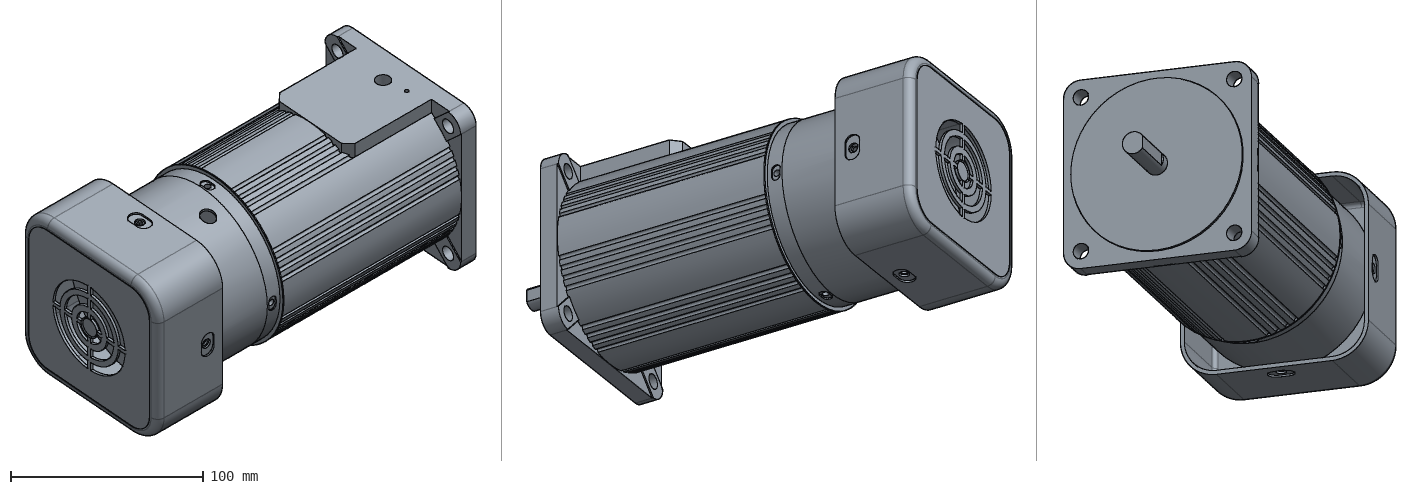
import cadquery as cq
import math

SHAFT_TIP = 263.0
SQUARE = 104.0
HALF = SQUARE / 2

COVER_OPEN_END = 46.5
CAP_END = 32.5
CAP_JOINT = 80.2
BARREL_END = 89.2
FLANGE_BACK = 215.7
FLANGE_FRONT = 226.0
PILOT_FRONT = 227.5

SPIGOT_RADIUS = 49.7
BARREL_RADIUS = 51.8
RIM_LENGTH = 0.8
PILOT_RADIUS = 47.3
FLANGE_CORNER = 9.5
GROOVE_RADIUS = 1.18
GROOVE_FIRST_ANGLE = 14.2
GROOVE_PITCH_ANGLE = 6.1
GROOVES_PER_SIDE = 4

SCREW_OFFSET = 42.3
SCREW_HOLE_DIAMETER = 8.5
SEAT_HEIGHT = 0.8

BLOCK_WIDTH = 57.5
BLOCK_END = 156.5
BLOCK_CHAMFER = 5.0
BLOCK_UNDERSIDE = 40.8
LEAD_HOLE_DIAMETER = 9.0
LEAD_HOLE_Y = 208.0
LEAD_HOLE_DEPTH = 8.0
EARTH_HOLE_DIAMETER = 2.4
EARTH_HOLE_X = 15.0
EARTH_HOLE_Y = 211.0
EARTH_HOLE_DEPTH = 5.3

SHAFT_RADIUS = 6.0
SHAFT_FLAT_DEPTH = 1.0
SHAFT_FLAT_LENGTH = 29.2

SPIGOT_SCREW_Y = 84.0
SPIGOT_RECESS_LENGTH = 9.0
SPIGOT_RECESS_WIDTH = 5.3
SPIGOT_RECESS_DEPTH = 1.0
SPIGOT_HOLE_DIAMETER = 3.7
SPIGOT_HOLE_DEPTH = 5.3

CAP_WALL = 1.3
CABLE_HOLE_DIAMETER = 9.0
CABLE_HOLE_X = 16.5
CABLE_HOLE_Y = 69.0

COVER_CORNER = 20.0
COVER_FILLET = 4.7
PANEL_BORDER = 1.0
PANEL_HEIGHT = 0.3
HUB_RADIUS = 6.0
HUB_FLOOR_RADIUS = 5.3
HUB_RECESS = 0.5
GRILLE_THICKNESS = 1.5
COVER_WALL = HALF - SPIGOT_RADIUS
COVER_SCREW_Y = 36.0
COVER_RECESS_LENGTH = 14.7
COVER_RECESS_WIDTH = 9.0
COVER_RECESS_DEPTH = 1.0
COVER_HOLE_DIAMETER = 5.5
CAP_SCREW_HOLE_DIAMETER = 3.5
GRILLE_RINGS = [(HUB_RADIUS, 9.5), (13.5, 19.0), (22.4, 27.5)]
GRILLE_SPOKE = 2.4


def sketch_plane(y):
    """Plane across the motor axis at the given Y, with X right, Z up, facing -Y."""
    return cq.Workplane("XZ", origin=(0, y, 0))


def cylinder(radius, y_from, y_to):
    """Cylinder on the motor axis."""
    return sketch_plane(y_to).circle(radius).extrude(y_to - y_from)


def rounded_square(side, corner, y_from, y_to):
    """Square bar on the motor axis with rounded long edges."""
    return sketch_plane(y_to).rect(side, side).extrude(y_to - y_from).edges("|Y").fillet(corner)


def around_axis(tool):
    """Four copies of a tool, a quarter turn apart about the motor axis."""
    return [tool.rotate((0, 0, 0), (0, 1, 0), 90 * turn) for turn in range(4)]


def cut_all(body, tools):
    for tool in tools:
        body = body.cut(tool)
    return body


def hole_from_top(x, y, diameter, z_top, depth):
    return cq.Workplane("XY", origin=(x, y, z_top)).circle(diameter / 2).extrude(-depth)


def oval_from_top(y, length, width, z_top, depth):
    return cq.Workplane("XY", origin=(0, y, z_top)).slot2D(length, width).extrude(-depth)


def barrel():
    body = cylinder(BARREL_RADIUS, BARREL_END, FLANGE_BACK)
    body = body.union(cylinder(HALF, BARREL_END, BARREL_END + RIM_LENGTH))
    groove_start = BARREL_END + RIM_LENGTH
    groove = cylinder(GROOVE_RADIUS, groove_start, FLANGE_BACK).translate((0, 0, BARREL_RADIUS))
    for number in range(GROOVES_PER_SIDE):
        angle = GROOVE_FIRST_ANGLE + number * GROOVE_PITCH_ANGLE
        for side in (1, -1):
            turned = groove.rotate((0, 0, 0), (0, 1, 0), side * angle)
            body = cut_all(body, around_axis(turned))
    return body


def flange():
    body = rounded_square(SQUARE, FLANGE_CORNER, FLANGE_BACK, FLANGE_FRONT)
    seat_face = FLANGE_BACK - SEAT_HEIGHT
    outline = rounded_square(SQUARE, FLANGE_CORNER, seat_face, FLANGE_BACK)
    seat_width = FLANGE_CORNER * math.sqrt(2)
    for angle in (45, -45):
        band = sketch_plane(FLANGE_BACK).rect(2 * SQUARE, seat_width).extrude(SEAT_HEIGHT)
        body = body.union(band.rotate((0, 0, 0), (0, 1, 0), angle).intersect(outline))
    hole = cylinder(SCREW_HOLE_DIAMETER / 2, seat_face, FLANGE_FRONT)
    return cut_all(body, around_axis(hole.translate((SCREW_OFFSET, 0, SCREW_OFFSET))))


def terminal_block():
    length = FLANGE_BACK - BLOCK_END
    centre = (0, BLOCK_END + length / 2, BLOCK_UNDERSIDE)
    body = cq.Workplane("XY", origin=centre).rect(BLOCK_WIDTH, length).extrude(HALF - BLOCK_UNDERSIDE)
    return body.edges("|Z and <Y").chamfer(BLOCK_CHAMFER)


def shaft():
    body = cylinder(SHAFT_RADIUS, PILOT_FRONT, SHAFT_TIP)
    flat_x = SHAFT_FLAT_DEPTH - SHAFT_RADIUS
    flat = cq.Workplane("XY").box(SHAFT_RADIUS, SHAFT_FLAT_LENGTH, 2 * SHAFT_RADIUS)
    flat_centre = (flat_x - SHAFT_RADIUS / 2, SHAFT_TIP - SHAFT_FLAT_LENGTH / 2, 0)
    return body.cut(flat.translate(flat_centre))


def make_housing():
    body = barrel().union(flange()).union(terminal_block())
    body = body.union(cylinder(PILOT_RADIUS, FLANGE_FRONT, PILOT_FRONT)).union(shaft())
    body = body.union(cylinder(SPIGOT_RADIUS, CAP_JOINT, BARREL_END))
    body = body.cut(hole_from_top(0, LEAD_HOLE_Y, LEAD_HOLE_DIAMETER, HALF, LEAD_HOLE_DEPTH))
    body = body.cut(hole_from_top(EARTH_HOLE_X, EARTH_HOLE_Y, EARTH_HOLE_DIAMETER, HALF, EARTH_HOLE_DEPTH))
    recess = oval_from_top(SPIGOT_SCREW_Y, SPIGOT_RECESS_LENGTH, SPIGOT_RECESS_WIDTH,
                           SPIGOT_RADIUS, SPIGOT_RECESS_DEPTH)
    hole = hole_from_top(0, SPIGOT_SCREW_Y, SPIGOT_HOLE_DIAMETER, SPIGOT_RADIUS, SPIGOT_HOLE_DEPTH)
    return cut_all(body, around_axis(recess.union(hole)))


def make_rear_cap():
    body = cylinder(SPIGOT_RADIUS, CAP_END, CAP_JOINT)
    body = body.cut(cylinder(SPIGOT_RADIUS - CAP_WALL, CAP_END + CAP_WALL, CAP_JOINT))
    body = body.cut(hole_from_top(CABLE_HOLE_X, CABLE_HOLE_Y, CABLE_HOLE_DIAMETER,
                                  SPIGOT_RADIUS, SPIGOT_RADIUS))
    hole = hole_from_top(0, COVER_SCREW_Y, CAP_SCREW_HOLE_DIAMETER, SPIGOT_RADIUS, 2 * CAP_WALL)
    return cut_all(body, around_axis(hole))


def grille_slots():
    spoke = sketch_plane(GRILLE_THICKNESS).rect(SQUARE, GRILLE_SPOKE).extrude(GRILLE_THICKNESS)
    spokes = spoke.union(spoke.rotate((0, 0, 0), (0, 1, 0), 90))
    slots = []
    for inner, outer in GRILLE_RINGS:
        ring = sketch_plane(GRILLE_THICKNESS).circle(outer).circle(inner).extrude(GRILLE_THICKNESS)
        slots.append(ring.cut(spokes))
    return slots


def make_fan_cover():
    body = rounded_square(SQUARE, COVER_CORNER, PANEL_HEIGHT, COVER_OPEN_END)
    body = body.faces("<Y").edges().fillet(COVER_FILLET)
    panel_inset = COVER_FILLET + PANEL_BORDER
    panel = rounded_square(SQUARE - 2 * panel_inset, COVER_CORNER - panel_inset, 0, PANEL_HEIGHT)
    body = body.union(panel)
    hub_dish = cq.Solid.makeCone(HUB_RADIUS, HUB_FLOOR_RADIUS, HUB_RECESS,
                                 cq.Vector(0, 0, 0), cq.Vector(0, 1, 0))
    body = body.cut(hub_dish)
    cavity = rounded_square(2 * SPIGOT_RADIUS, COVER_CORNER - COVER_WALL, GRILLE_THICKNESS, COVER_OPEN_END)
    cavity = cavity.faces("<Y").edges().fillet(COVER_FILLET - COVER_WALL)
    body = cut_all(body.cut(cavity), grille_slots())
    recess = oval_from_top(COVER_SCREW_Y, COVER_RECESS_LENGTH, COVER_RECESS_WIDTH, HALF, COVER_RECESS_DEPTH)
    hole = hole_from_top(0, COVER_SCREW_Y, COVER_HOLE_DIAMETER, HALF, COVER_WALL)
    return cut_all(body, around_axis(recess.union(hole)))


housing = make_housing()
rear_cap = make_rear_cap()
fan_cover = make_fan_cover()

result = cq.Compound.makeCompound([housing.val(), rear_cap.val(), fan_cover.val()])